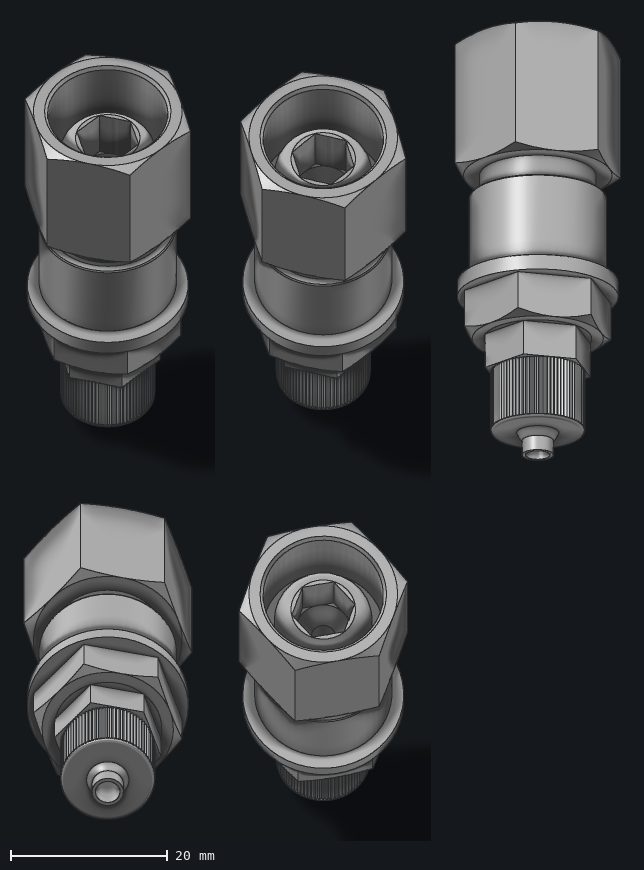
import cadquery as cq
import math

TIP_BASE_Z = 1.95
CAP_BOTTOM_Z = 3.0
CAP_TOP_Z = 11.3
LOCKNUT_BOTTOM_Z = 15.85
WASHER_BOTTOM_Z = 21.5
BARREL_BOTTOM_Z = 23.5
BARREL_TOP_Z = 35.0
NUT_BOTTOM_Z = 38.05
NUT_FLOOR_Z = 44.45
NIPPLE_TOP_Z = 50.6
NUT_TOP_Z = 55.55

NUT_CORNER_DIAMETER = 21.9
NUT_CORNER_DROP = 0.65
NUT_BORE_RADIUS = 7.65
NUT_BORE_CHAMFER = 0.4

NECK_RADIUS = 7.45
NECK_FLARE = 0.35
BARREL_RADIUS = 8.8
BARREL_TOP_CHAMFER = 0.15
BARREL_BOTTOM_CHAMFER = 0.5
SHANK_RADIUS = 6.9
HEX_END_FLATS = 12.0
BALL_RADIUS = 2.9
TIP_RADIUS = 2.0
BORE_RADIUS = 1.55

NIPPLE_RADIUS = 6.2
NIPPLE_RIM_RADIUS = 4.1
NOSE_RADIUS = 3.55
SOCKET_FLATS = 7.05
SOCKET_DEPTH = 6.65
SOCKET_DRILL_DIAMETER = 7.1
SOCKET_CONE_ANGLE = 90

WASHER_RADIUS = 10.3
LOCKNUT_CORNER_DIAMETER = 19.35
LOCKNUT_CORNER_DROP = 0.8

CAP_RADIUS = HEX_END_FLATS / 2
CAP_ROUNDING = 0.45
KNURL_COUNT = 77
KNURL_DEPTH = 0.3

HEX_FLATS_PER_CORNERS = math.cos(math.radians(30))


def hex_prism(corner_diameter, bottom, top):
    """Hexagonal prism with two corners on the X axis."""
    return cq.Workplane("XY").workplane(offset=bottom).polygon(6, corner_diameter).extrude(top - bottom)


def cylinder(radius, bottom, top):
    return cq.Workplane("XY").workplane(offset=bottom).circle(radius).extrude(top - bottom)


def turned(profile):
    """Revolve an XZ outline about the Z axis."""
    return profile.close().revolve(360, (0, 0, 0), (0, 1, 0))


def corner_cone(corner_diameter, corner_drop, bottom, top, chamfer_top):
    """Turned envelope that bevels the corners of a hexagon down to its inscribed circle."""
    corner_radius = corner_diameter / 2
    face_radius = corner_radius * HEX_FLATS_PER_CORNERS
    profile = (
        cq.Workplane("XZ")
        .moveTo(0, bottom)
        .lineTo(face_radius, bottom)
        .lineTo(corner_radius, bottom + corner_drop)
    )
    if chamfer_top:
        profile = profile.lineTo(corner_radius, top - corner_drop).lineTo(face_radius, top)
    else:
        profile = profile.lineTo(corner_radius, top)
    return turned(profile.lineTo(0, top))


def make_union_nut():
    nut = hex_prism(NUT_CORNER_DIAMETER, NUT_BOTTOM_Z, NUT_TOP_Z)
    nut = nut.intersect(
        corner_cone(NUT_CORNER_DIAMETER, NUT_CORNER_DROP, NUT_BOTTOM_Z, NUT_TOP_Z, chamfer_top=True)
    )
    nut = nut.cut(cylinder(NIPPLE_RADIUS, NUT_BOTTOM_Z, NUT_FLOOR_Z))
    nut = nut.cut(cylinder(NUT_BORE_RADIUS, NUT_FLOOR_Z, NUT_TOP_Z))
    return nut.faces(">Z").edges(cq.selectors.RadiusNthSelector(0)).chamfer(NUT_BORE_CHAMFER)


def ball_profile_radius(z):
    """Radius at height z of the ball whose surface ends at the tip."""
    centre_z = TIP_BASE_Z + math.sqrt(BALL_RADIUS**2 - TIP_RADIUS**2)
    return math.sqrt(BALL_RADIUS**2 - (centre_z - z) ** 2)


def make_fitting_body():
    ball_middle_z = (TIP_BASE_Z + CAP_BOTTOM_Z) / 2
    nose_centre_radius = NIPPLE_RADIUS - NOSE_RADIUS
    nose_sweep = math.acos((NIPPLE_RIM_RADIUS - nose_centre_radius) / NOSE_RADIUS)
    nose_centre_z = NIPPLE_TOP_Z - NOSE_RADIUS * math.sin(nose_sweep)
    spigot_radius = ball_profile_radius(CAP_BOTTOM_Z)
    profile = (
        cq.Workplane("XZ")
        .moveTo(0, 0)
        .lineTo(TIP_RADIUS, 0)
        .lineTo(TIP_RADIUS, TIP_BASE_Z)
        .threePointArc(
            (ball_profile_radius(ball_middle_z), ball_middle_z),
            (spigot_radius, CAP_BOTTOM_Z),
        )
        .lineTo(spigot_radius, LOCKNUT_BOTTOM_Z)
        .lineTo(SHANK_RADIUS, LOCKNUT_BOTTOM_Z)
        .lineTo(SHANK_RADIUS, BARREL_BOTTOM_Z)
        .lineTo(BARREL_RADIUS - BARREL_BOTTOM_CHAMFER, BARREL_BOTTOM_Z)
        .lineTo(BARREL_RADIUS, BARREL_BOTTOM_Z + BARREL_BOTTOM_CHAMFER)
        .lineTo(BARREL_RADIUS, BARREL_TOP_Z - BARREL_TOP_CHAMFER)
        .lineTo(BARREL_RADIUS - BARREL_TOP_CHAMFER, BARREL_TOP_Z)
        .lineTo(NECK_RADIUS + NECK_FLARE, BARREL_TOP_Z)
        .lineTo(NECK_RADIUS, BARREL_TOP_Z + NECK_FLARE)
        .lineTo(NECK_RADIUS, NUT_BOTTOM_Z)
        .lineTo(NIPPLE_RADIUS, NUT_BOTTOM_Z)
        .lineTo(NIPPLE_RADIUS, nose_centre_z)
        .threePointArc(
            (
                nose_centre_radius + NOSE_RADIUS * math.cos(nose_sweep / 2),
                nose_centre_z + NOSE_RADIUS * math.sin(nose_sweep / 2),
            ),
            (NIPPLE_RIM_RADIUS, NIPPLE_TOP_Z),
        )
        .lineTo(0, NIPPLE_TOP_Z)
    )
    body = turned(profile)
    body = body.union(hex_prism(HEX_END_FLATS / HEX_FLATS_PER_CORNERS, CAP_TOP_Z, LOCKNUT_BOTTOM_Z))
    return body.cut(make_passage())


def make_passage():
    """Hexagon socket with a drilled, cone-bottomed relief and the through bore."""
    socket_floor_z = NIPPLE_TOP_Z - SOCKET_DEPTH
    drill_radius = SOCKET_DRILL_DIAMETER / 2
    cone_height = (drill_radius - BORE_RADIUS) / math.tan(math.radians(SOCKET_CONE_ANGLE / 2))
    drilling = turned(
        cq.Workplane("XZ")
        .moveTo(0, 0)
        .lineTo(BORE_RADIUS, 0)
        .lineTo(BORE_RADIUS, socket_floor_z - cone_height)
        .lineTo(drill_radius, socket_floor_z)
        .lineTo(drill_radius, NIPPLE_TOP_Z)
        .lineTo(0, NIPPLE_TOP_Z)
    )
    return drilling.union(hex_prism(SOCKET_FLATS / HEX_FLATS_PER_CORNERS, socket_floor_z, NIPPLE_TOP_Z))


def make_washer():
    return cylinder(WASHER_RADIUS, WASHER_BOTTOM_Z, BARREL_BOTTOM_Z).cut(
        cylinder(SHANK_RADIUS, WASHER_BOTTOM_Z, BARREL_BOTTOM_Z)
    )


def make_locknut():
    nut = hex_prism(LOCKNUT_CORNER_DIAMETER, LOCKNUT_BOTTOM_Z, WASHER_BOTTOM_Z)
    nut = nut.intersect(
        corner_cone(
            LOCKNUT_CORNER_DIAMETER, LOCKNUT_CORNER_DROP, LOCKNUT_BOTTOM_Z, WASHER_BOTTOM_Z, chamfer_top=False
        )
    )
    return nut.cut(cylinder(SHANK_RADIUS, LOCKNUT_BOTTOM_Z, WASHER_BOTTOM_Z))


def make_knurled_cap():
    """Cap with a ring of V-shaped teeth above a smooth rounded end."""
    teeth_bottom_z = CAP_BOTTOM_Z + CAP_ROUNDING
    rounding_middle = CAP_ROUNDING * math.sqrt(0.5)
    root_radius = CAP_RADIUS - KNURL_DEPTH
    pitch = 2 * math.pi / KNURL_COUNT
    outline = []
    for tooth in range(KNURL_COUNT):
        crest = tooth * pitch - math.pi / 2
        root = crest + pitch / 2
        outline.append((CAP_RADIUS * math.cos(crest), CAP_RADIUS * math.sin(crest)))
        outline.append((root_radius * math.cos(root), root_radius * math.sin(root)))
    teeth = cq.Workplane("XY").workplane(offset=teeth_bottom_z).polyline(outline).close()
    cap = turned(
        cq.Workplane("XZ")
        .moveTo(0, CAP_BOTTOM_Z)
        .lineTo(CAP_RADIUS - CAP_ROUNDING, CAP_BOTTOM_Z)
        .threePointArc(
            (CAP_RADIUS - CAP_ROUNDING + rounding_middle, teeth_bottom_z - rounding_middle),
            (CAP_RADIUS, teeth_bottom_z),
        )
        .lineTo(0, teeth_bottom_z)
    )
    cap = cap.union(teeth.extrude(CAP_TOP_Z - teeth_bottom_z))
    return cap.cut(cylinder(ball_profile_radius(CAP_BOTTOM_Z), CAP_BOTTOM_Z, CAP_TOP_Z))


union_nut = make_union_nut()
fitting_body = make_fitting_body()
washer = make_washer()
locknut = make_locknut()
knurled_cap = make_knurled_cap()

result = cq.Compound.makeCompound(
    [union_nut.val(), fitting_body.val(), washer.val(), locknut.val(), knurled_cap.val()]
)